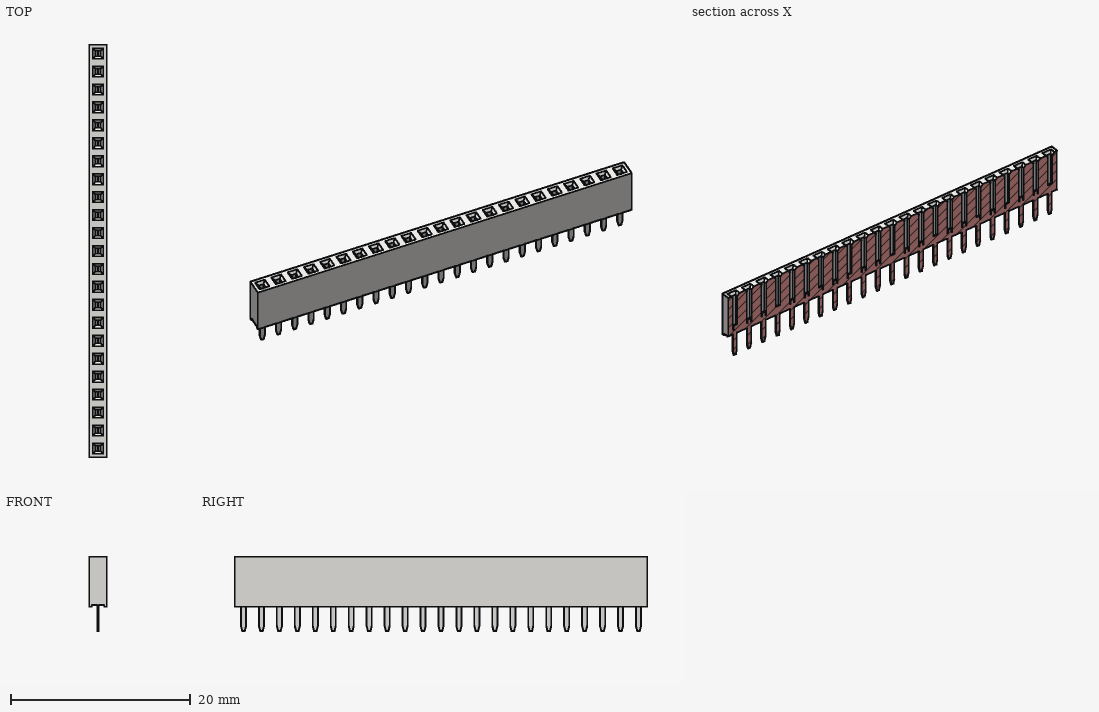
import cadquery as cq

contact_count = 23
pitch = 2.0
body_width = 2.0
body_length = contact_count * pitch
body_height = 5.6

channel_width = 1.35
channel_depth = 0.2

entry_mouth = 1.2
funnel_depth = 0.3
well_side = 0.6
well_depth = 4.4
well_top = body_height - funnel_depth
well_floor = well_top - well_depth

contact_thickness = 0.2
blade_width = 0.5
blade_height = 0.5
tail_width = 0.6
tail_length = 2.7
tip_width = 0.3
tip_height = 0.6

contact_places = [(0, (i - (contact_count - 1) / 2) * pitch) for i in range(contact_count)]


def make_body():
    """Plain bar with a channel along its underside."""
    bar = cq.Workplane("XY").box(body_width, body_length, body_height, centered=(True, True, False))
    channel = cq.Workplane("XY").rect(channel_width, body_length).extrude(channel_depth)
    return bar.cut(channel)


def make_entry():
    """Funnel and well to cut away, centred on X = 0, Y = 0."""
    funnel = (
        cq.Workplane("XY", origin=(0, 0, body_height))
        .rect(entry_mouth, entry_mouth)
        .workplane(offset=-funnel_depth)
        .rect(well_side, well_side)
        .loft(ruled=True)
    )
    well = cq.Workplane("XY", origin=(0, 0, well_floor)).rect(well_side, well_side).extrude(well_depth)
    return funnel.union(well)


def make_blade():
    """Upright contact blade rising from the well floor."""
    return (
        cq.Workplane("XY", origin=(0, 0, well_floor))
        .rect(contact_thickness, blade_width)
        .extrude(blade_height)
    )


def make_tail():
    """Flat tail with a tapered tip, hanging from the channel roof."""
    half_width = tail_width / 2
    half_tip = tip_width / 2
    taper_start = tip_height - tail_length
    return (
        cq.Workplane("YZ")
        .moveTo(-half_width, channel_depth)
        .lineTo(-half_width, taper_start)
        .lineTo(-half_tip, -tail_length)
        .lineTo(half_tip, -tail_length)
        .lineTo(half_width, taper_start)
        .lineTo(half_width, channel_depth)
        .close()
        .extrude(contact_thickness / 2, both=True)
    )


def at_contacts(shape):
    """Copies of a shape at every contact."""
    solid = shape.val()
    return cq.Workplane("XY").pushPoints(contact_places).eachpoint(lambda place: solid.moved(place))


housing = make_body().cut(at_contacts(make_entry()))
result = housing.union(at_contacts(make_blade())).union(at_contacts(make_tail()))